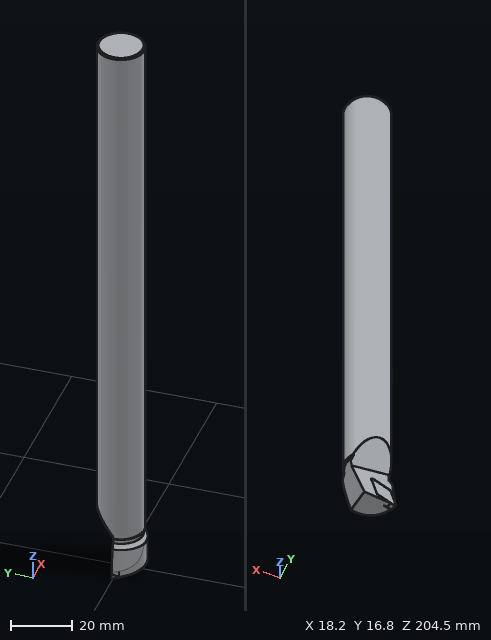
import cadquery as cq
import math


shank_diameter = 15.875
shank_radius = shank_diameter / 2
overall_length = 204.45
end_chamfer = 0.5

shank_end_z = 14.3
neck_radius = 7.6
neck_end_z = 12.5
flare_drop_per_radius = 1.2
flare_outer_radius = 12.0

width_x = 18.24
depth_y = 16.83

head_radius = 9.2
head_center_x = -0.67
head_center_y = shank_radius - depth_y + head_radius
relief_shift_y = -0.24
relief_tilt_angle = 6.5
relief_pivot_z = 2.0

end_face_z = 0.5
end_relief_angle = 8.5

flat_turn_angle = 6.2
flat_offset_y = 1.1
slope_z = 13.0
slope_lean_angle = 35.0
slope_skew_angle = 17.0

back_lean_angle = 24.0
back_x = 2.3
back_z = 2.0

inscribed_radius = 6.35 / 2
insert_thickness = 2.38
nose_radius = 0.4
insert_relief_angle = 7.0
corner_angle = 55.0
lead_angle = (90 - corner_angle) / 2
tip_x = shank_radius - width_x

cutter_size = 60.0


def make_turned_blank():
    """Shank, neck and flare turned about the Z axis; the flare runs past the head."""
    flare_end_z = neck_end_z - (flare_outer_radius - neck_radius) * flare_drop_per_radius
    return (
        cq.Workplane("XZ")
        .moveTo(0, 0)
        .lineTo(flare_outer_radius, 0)
        .lineTo(flare_outer_radius, flare_end_z)
        .lineTo(neck_radius, neck_end_z)
        .lineTo(neck_radius, shank_end_z)
        .lineTo(shank_radius, shank_end_z)
        .lineTo(shank_radius, overall_length - end_chamfer)
        .lineTo(shank_radius - end_chamfer, overall_length)
        .lineTo(0, overall_length)
        .close()
        .revolve(360, (0, 0, 0), (0, 1, 0))
    )


def make_head_envelope():
    """Off-centre head cylinder, narrowed upward by the tilted relief cylinder."""
    head = (
        cq.Workplane("XY", origin=(head_center_x, head_center_y, 0))
        .circle(head_radius)
        .extrude(neck_end_z)
    )
    relief = (
        cq.Workplane("XY")
        .circle(head_radius)
        .extrude(cutter_size / 2, both=True)
        .rotate((0, 0, 0), (0, 1, 0), relief_tilt_angle)
        .translate((head_center_x, head_center_y + relief_shift_y, relief_pivot_z))
    )
    return head.intersect(relief)


def make_blank():
    """Turned blank limited to the head envelope below the neck."""
    upper_envelope = (
        cq.Workplane("XY", origin=(0, 0, neck_end_z))
        .circle(flare_outer_radius)
        .extrude(overall_length)
    )
    return make_turned_blank().intersect(make_head_envelope().union(upper_envelope))


def half_space():
    """Large block on the +Y side of the XZ plane."""
    return cq.Workplane("XY").box(cutter_size, cutter_size, cutter_size, centered=(True, False, True))


def make_rake_cutter():
    """Region in front of the rake flat and below the run-out slope."""
    flat = half_space().rotate((0, 0, 0), (0, 0, 1), flat_turn_angle)
    slope = (
        half_space()
        .rotate((0, 0, 0), (1, 0, 0), -slope_lean_angle)
        .rotate((0, 0, 0), (0, 0, 1), slope_skew_angle)
        .translate((0, 0, slope_z))
    )
    return flat.intersect(slope).translate((0, flat_offset_y, 0))


def make_back_cutter():
    """Region beyond the slanted back of the head, on the +X side."""
    return (
        half_space()
        .rotate((0, 0, 0), (0, 0, 1), -90)
        .rotate((0, 0, 0), (0, 1, 0), back_lean_angle)
        .translate((back_x, 0, back_z))
    )


def make_end_cutter():
    """Region below the inclined end face."""
    return (
        half_space()
        .rotate((0, 0, 0), (1, 0, 0), -90 - end_relief_angle)
        .translate((0, 0, end_face_z))
    )


def make_insert():
    """Positive rhombic insert with its top face flush with the rake flat."""
    half_corner = math.radians(corner_angle / 2)
    half_length = inscribed_radius / math.sin(half_corner)
    half_width = inscribed_radius / math.cos(half_corner)
    nose_center_distance = half_length - nose_radius / math.sin(half_corner)
    diagonal_angle = 90 - lead_angle - corner_angle / 2
    nose_x = -nose_center_distance * math.cos(math.radians(diagonal_angle))
    nose_z = -nose_center_distance * math.sin(math.radians(diagonal_angle))
    tip_along_flat = tip_x / math.cos(math.radians(flat_turn_angle))
    return (
        cq.Workplane("XZ")
        .polyline([(half_length, 0), (0, half_width), (-half_length, 0), (0, -half_width)])
        .close()
        .extrude(insert_thickness, taper=insert_relief_angle)
        .edges("not #Y")
        .fillet(nose_radius)
        .rotate((0, 0, 0), (0, 1, 0), -diagonal_angle)
        .translate((tip_along_flat + nose_radius - nose_x, 0, nose_radius - nose_z))
        .rotate((0, 0, 0), (0, 0, 1), flat_turn_angle)
        .translate((0, flat_offset_y, 0))
    )


insert = make_insert()
bar = (
    make_blank()
    .cut(make_rake_cutter())
    .cut(make_back_cutter())
    .cut(make_end_cutter())
    .cut(insert)
)

result = cq.Compound.makeCompound([bar.val(), insert.val()])